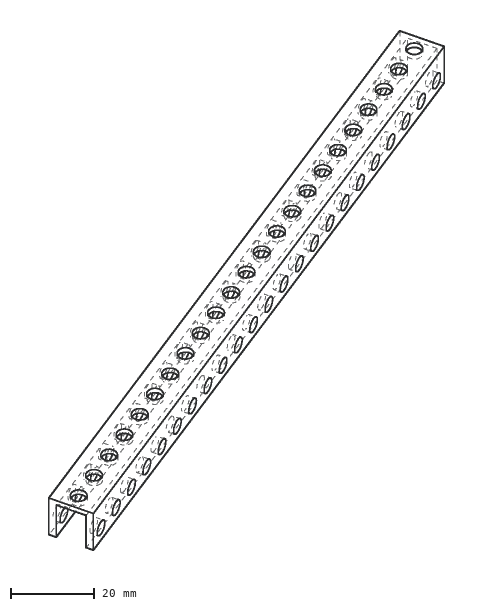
import cadquery as cq

length = 184.0
hole_count = 23
hole_pitch = length / hole_count
hole_diameter = hole_pitch / 2
leg_hole_height = hole_pitch / 2

width = 1.5 * hole_pitch
height = width
leg_thickness = 2.0
web_thickness = 1.5


def channel():
    """Straight U section, centred on the origin."""
    inner_width = width - 2 * leg_thickness
    inner_height = height - web_thickness
    body = cq.Workplane("XY").box(width, length, height)
    trough = (
        cq.Workplane("XY")
        .box(inner_width, length, inner_height)
        .translate((0, 0, (inner_height - height) / 2))
    )
    return body.cut(trough)


def web_holes():
    """Row of vertical cutters on the centre line of the web."""
    return (
        cq.Workplane("XY")
        .rarray(1.8, hole_pitch, 1, hole_count)
        .circle(hole_diameter / 2)
        .extrude(height)
    )


def leg_holes():
    """Row of horizontal cutters passing through both legs."""
    return (
        cq.Workplane("YZ")
        .center(0, leg_hole_height - height / 2)
        .rarray(hole_pitch, 1.8, hole_count, 1)
        .circle(hole_diameter / 2)
        .extrude(width, both=True)
    )


result = channel().cut(web_holes()).cut(leg_holes())